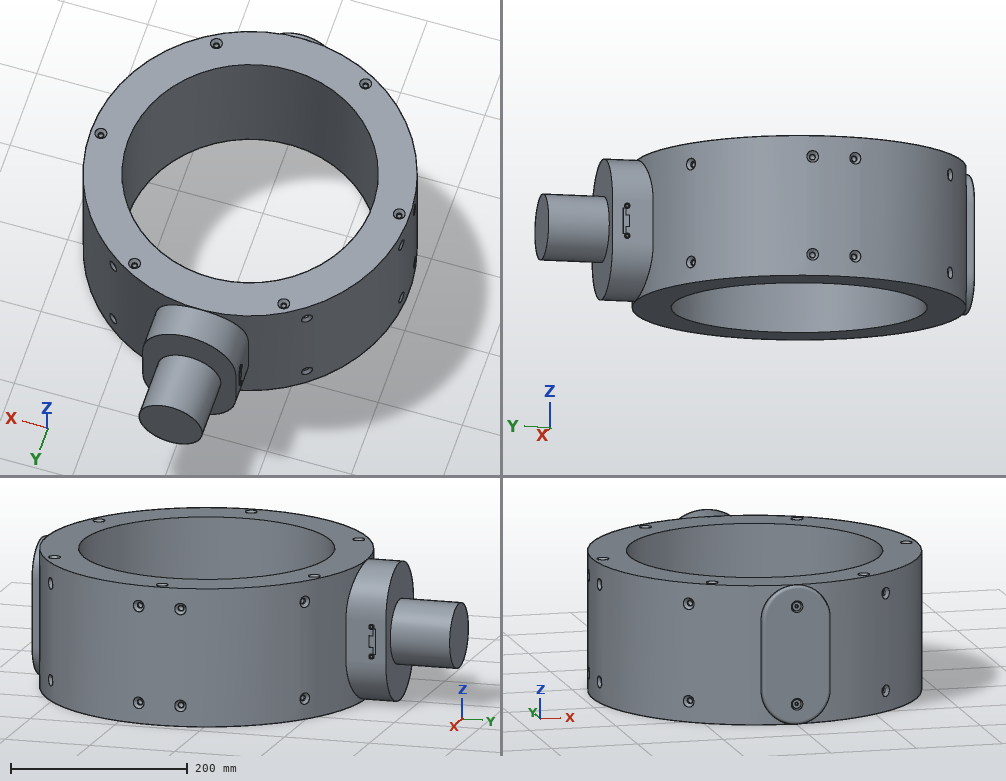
import cadquery as cq

ring_diameter = 378.0
bore_diameter = 290.0
ring_height = 161.0
ring_radius = ring_diameter / 2
bore_radius = bore_diameter / 2
overall_length = 493.0

rim_gap = 0.25
side_height = ring_height - 2 * rim_gap
root_y = 160.0

plate_width = 79.0
plate_height = side_height
plate_front = 195.0
plate_fillet = 3.5

boss_width = 110.5
boss_height = side_height
boss_end = 228.0
pipe_diameter = 75.0
pipe_end = overall_length - plate_front

sink_diameter = 13.5
screw_diameter = 6.5
sink_depth = (sink_diameter - screw_diameter) / 2
screw_depth = 2.5
drill_tip_depth = 2.0
top_screw_radius = 177.0
top_screw_count = 6
screw_row_spacing = 113.0
screw_row_height = screw_row_spacing / 2
side_screw_angle = 7.5
side_screw_pitch = 45.0

plate_screw_diameter = 13.5
head_diameter = 10.5
head_recess = 1.5
socket_diameter = 3.5
socket_depth = 2.5

latch_thickness = 0.5
latch_y = 214.0
latch_bar_width = 3.0
latch_bar_length = 29.5
latch_pad_width = 7.5
latch_pad_length = 13.5
latch_edge = latch_y + latch_bar_width / 2
pin_diameter = 6.0
pin_bore = 3.5
pin_height = 1.5
pin_y = 211.0
pin_spacing = 34.5


def root_plane():
    """Vertical plane inside the ring wall where the side blocks start."""
    return cq.Workplane("XZ", origin=(0, root_y, 0))


def obround_along_y(width, height, end):
    """Upright obround block from the root plane out to Y = end."""
    return root_plane().slot2D(height, width, 90).extrude(root_y - end)


def make_screw_hole_cutter():
    """Countersink, straight hole and conical drill tip."""
    hole_bottom = sink_depth + screw_depth
    profile = (
        cq.Workplane("XZ")
        .lineTo(sink_diameter / 2, 0)
        .lineTo(screw_diameter / 2, -sink_depth)
        .lineTo(screw_diameter / 2, -hole_bottom)
        .lineTo(0, -hole_bottom - drill_tip_depth)
        .close()
    )
    return profile.revolve(360, (0, 0), (0, 1))


def make_plate_screw_cutter():
    """Tapered recess down to a flat screw head with a round socket."""
    socket_bottom = head_recess + socket_depth
    profile = (
        cq.Workplane("XZ")
        .lineTo(plate_screw_diameter / 2, 0)
        .lineTo(head_diameter / 2, -head_recess)
        .lineTo(socket_diameter / 2, -head_recess)
        .lineTo(socket_diameter / 2, -socket_bottom)
        .lineTo(0, -socket_bottom)
        .close()
    )
    return profile.revolve(360, (0, 0), (0, 1))


def point_outward(cutter, distance, angle, height):
    """Turn a cutter so its mouth faces radially outward at the given place."""
    turned = cutter.rotate((0, 0, 0), (0, 1, 0), 90).translate((distance, 0, height))
    return turned.rotate((0, 0, 0), (0, 0, 1), angle)


def make_body():
    plate = obround_along_y(plate_width, plate_height, plate_front)
    plate = plate.faces(">Y").edges().fillet(plate_fillet)
    plate = plate.rotate((0, 0, 0), (0, 0, 1), 180)
    boss = obround_along_y(boss_width, boss_height, boss_end)
    pipe = root_plane().circle(pipe_diameter / 2).extrude(root_y - pipe_end)
    ring = cq.Workplane("XY").circle(ring_radius).extrude(ring_height / 2, both=True)
    bore = cq.Workplane("XY").circle(bore_radius).extrude(ring_height, both=True)
    return ring.union(plate).union(boss).union(pipe).cut(bore)


def make_latch():
    """Latch for the +X flank: bar, centre pad and two hollow end pins."""
    flank = cq.Workplane("YZ", origin=(boss_width / 2, 0, 0))
    bar = flank.center(latch_y, 0).rect(latch_bar_width, latch_bar_length).extrude(latch_thickness)
    pad_y = latch_edge - latch_pad_width / 2
    pad = flank.center(pad_y, 0).rect(latch_pad_width, latch_pad_length).extrude(latch_thickness)
    pin_places = [(pin_y, -pin_spacing / 2), (pin_y, pin_spacing / 2)]
    pins = flank.pushPoints(pin_places).circle(pin_diameter / 2).circle(pin_bore / 2).extrude(pin_height)
    return bar.union(pad).union(pins)


def add_latches(body):
    latch = make_latch()
    return body.union(latch).union(latch.mirror("YZ"))


def cut_top_screws(body):
    cutter = make_screw_hole_cutter()
    cutter = cutter.translate((top_screw_radius, 0, ring_height / 2))
    for index in range(top_screw_count):
        body = body.cut(cutter.rotate((0, 0, 0), (0, 0, 1), index * 360 / top_screw_count))
    return body


def cut_side_screws(body):
    cutter = make_screw_hole_cutter()
    outer_angle = side_screw_angle + side_screw_pitch
    for side in (0, 180):
        for offset in (-outer_angle, -side_screw_angle, side_screw_angle, outer_angle):
            for height in (-screw_row_height, screw_row_height):
                body = body.cut(point_outward(cutter, ring_radius, side + offset, height))
    return body


def cut_plate_screws(body):
    cutter = make_plate_screw_cutter()
    for height in (-screw_row_height, screw_row_height):
        body = body.cut(point_outward(cutter, plate_front, -90, height))
    return body


result = make_body()
result = add_latches(result)
result = cut_top_screws(result)
result = cut_side_screws(result)
result = cut_plate_screws(result)